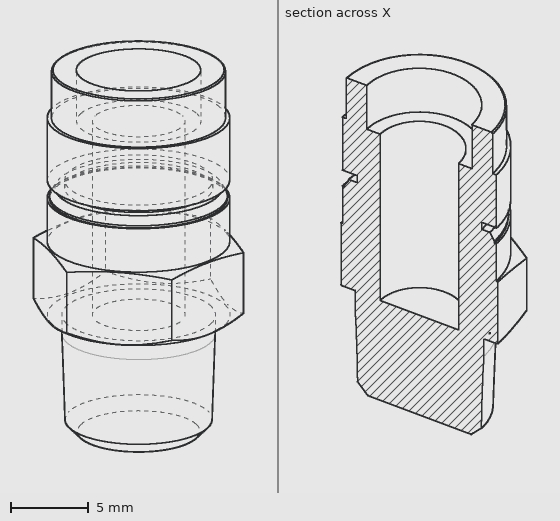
import cadquery as cq
import math

total_height = 24.75
lead_chamfer_top = 0.82
taper_top = 6.7
hex_bottom = 8.0
hex_top = 13.02
lower_ring_top = 16.0
cone_bottom = 16.14
cone_top = 16.7
collar_bottom = 17.23
collar_top = 21.48

lead_radius = 3.95
taper_end_radius = 4.75
stub_radius = 4.95
ring_radius = 5.9
cone_base_radius = 5.75
cone_tip_radius = 5.4
neck_radius = 4.78
cap_radius = 5.62
cap_chamfer = 0.1

hex_across_flats = 12.0
hex_across_corners = hex_across_flats / math.cos(math.radians(30))
hex_top_chamfer_angle = 15
hex_bottom_chamfer_angle = 30

mouth_radius = 4.0
mouth_depth = 3.5
bore_radius = 3.0
bore_depth = total_height - hex_bottom


def revolve_profile(points):
    """Revolve (radius, height) points about the Z axis."""
    return cq.Workplane("XZ").polyline(points).close().revolve(360, (0, 0, 0), (0, 1, 0))


def make_turned_body():
    return revolve_profile([
        (0, 0),
        (lead_radius, 0),
        (taper_end_radius, lead_chamfer_top),
        (stub_radius, taper_top),
        (stub_radius, hex_bottom),
        (ring_radius, hex_bottom),
        (ring_radius, lower_ring_top),
        (cone_base_radius, lower_ring_top),
        (cone_base_radius, cone_bottom),
        (cone_tip_radius, cone_top),
        (neck_radius, cone_top),
        (neck_radius, collar_bottom),
        (ring_radius, collar_bottom),
        (ring_radius, collar_top),
        (cap_radius, collar_top),
        (cap_radius, total_height - cap_chamfer),
        (cap_radius - cap_chamfer, total_height),
        (0, total_height),
    ])


def make_hexagon():
    """Hexagonal prism whose corners are trimmed by a cone at each end."""
    prism = (
        cq.Workplane("XY", origin=(0, 0, hex_bottom))
        .polygon(6, hex_across_corners)
        .extrude(hex_top - hex_bottom)
    )
    corner_radius = hex_across_corners / 2
    overhang = corner_radius - ring_radius
    top_drop = overhang * math.tan(math.radians(hex_top_chamfer_angle))
    bottom_rise = overhang * math.tan(math.radians(hex_bottom_chamfer_angle))
    envelope = revolve_profile([
        (0, hex_bottom),
        (ring_radius, hex_bottom),
        (corner_radius, hex_bottom + bottom_rise),
        (corner_radius, hex_top - top_drop),
        (ring_radius, hex_top),
        (0, hex_top),
    ])
    return prism.intersect(envelope)


def make_bore(radius, depth):
    return cq.Workplane("XY", origin=(0, 0, total_height - depth)).circle(radius).extrude(depth)


result = (
    make_turned_body()
    .union(make_hexagon())
    .cut(make_bore(mouth_radius, mouth_depth))
    .cut(make_bore(bore_radius, bore_depth))
)